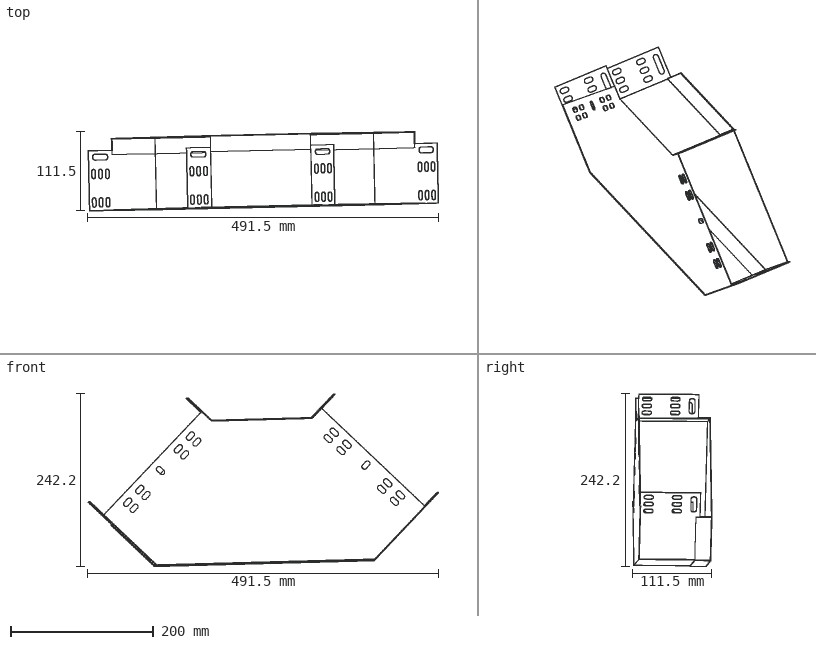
import cadquery as cq
import math


sheet = 1.0
duct_width = 201.3
outer_middle = 307.0
inner_leg = 19.0
total_depth = 101.5
bend_angle = 45
miter = math.tan(math.radians(bend_angle / 2))
outer_leg = inner_leg + duct_width * miter
inner_half_middle = outer_middle / 2 - duct_width * miter
wall_top = total_depth - sheet

tab_length = 27.0
tab_depth = 84.5
lid_setback = inner_leg
skirt_depth = 22.5

slot_length = 13.5
slot_width = 7.0
bottom_slot_rows = (12.5, 24.5)
bottom_slot_offsets = (-64.0, -39.5, 39.5, 64.0)
cross_slot_row = 15.3
tab_slot_first = 9.5
tab_slot_pitch = 13.5
tab_slot_columns = 3
tab_slot_depths = (12.0, 51.5)
long_slot_length = 29.0
long_slot_width = 8.0
long_slot_depth = 75.5
cut_reach = 2 * sheet

tilt_x = -0.37
tilt_y = -1.53
tilt_z = 1.28


def wall_path(inset, end_shift):
    """Four XZ points of a line that runs inset from the outer wall, from the left end to the right end."""
    half_middle = outer_middle / 2 - inset * miter
    leg = outer_leg - inset * miter + end_shift
    end_x = half_middle + leg * math.cos(math.radians(bend_angle))
    end_z = inset + leg * math.sin(math.radians(bend_angle))
    return [(-end_x, end_z), (-half_middle, inset), (half_middle, inset), (end_x, end_z)]


def prism(points, depth_from, depth_to):
    """Solid with an XZ outline between two depths along Y."""
    outline = cq.Workplane("XZ", origin=(0, depth_from, 0)).polyline(points).close()
    return outline.extrude(depth_from - depth_to)


def band(inset_from, inset_to, end_shift, depth_from, depth_to):
    """Strip of the elbow between two insets."""
    far_side = wall_path(inset_to, end_shift)[::-1]
    return prism(wall_path(inset_from, end_shift) + far_side, depth_from, depth_to)


def middle_strip(half_length, inset_from, inset_to, depth_from, depth_to):
    """Straight strip along the middle stretch only."""
    corners = [
        (-half_length, inset_from),
        (half_length, inset_from),
        (half_length, inset_to),
        (-half_length, inset_to),
    ]
    return prism(corners, depth_from, depth_to)


def end_frame(side, inset):
    """Origin, direction into the leg and direction square to its walls, at one duct end (-1 left, 1 right)."""
    end_x, end_z = wall_path(inset, 0)[0 if side < 0 else -1]
    cosine = math.cos(math.radians(bend_angle))
    sine = math.sin(math.radians(bend_angle))
    return (end_x, 0, end_z), (-side * cosine, 0, -sine), (sine, 0, -side * cosine)


def cut_slots(body, plane, places, length, width, angle):
    """Cut round-ended slots through the sheet that lies on the plane."""
    cutter = cq.Workplane(plane).pushPoints(places).slot2D(length, width, angle)
    return body.cut(cutter.extrude(cut_reach, both=True))


def cut_bottom_slots(tray, side):
    """Slots along the edge of the tray bottom at one duct end."""
    origin, into_leg, _ = end_frame(side, duct_width / 2)
    plane = cq.Plane(origin=origin, xDir=into_leg, normal=(0, 1, 0))
    places = [(row, offset) for row in bottom_slot_rows for offset in bottom_slot_offsets]
    tray = cut_slots(tray, plane, places, slot_length, slot_width, 90)
    return cut_slots(tray, plane, [(cross_slot_row, 0)], slot_length, slot_width, 0)


def cut_tab_slots(tray, side, inset):
    """Slots in the tab of one wall; X of the plane runs into the leg and Y is the depth."""
    origin, into_leg, across = end_frame(side, inset)
    plane = cq.Plane(origin=origin, xDir=into_leg, normal=across)
    columns = [tab_slot_first - tab_length + i * tab_slot_pitch for i in range(tab_slot_columns)]
    places = [(column, depth) for column in columns for depth in tab_slot_depths]
    tray = cut_slots(tray, plane, places, slot_length, slot_width, 90)
    middle_column = columns[tab_slot_columns // 2]
    return cut_slots(tray, plane, [(middle_column, long_slot_depth)], long_slot_length, long_slot_width, 0)


def make_tray():
    tray = band(0, duct_width, 0, 0, sheet)
    tray = tray.union(band(0, sheet, tab_length, 0, tab_depth))
    tray = tray.union(band(duct_width - sheet, duct_width, tab_length, 0, tab_depth))
    tray = tray.union(band(0, sheet, -lid_setback, 0, wall_top))
    tray = tray.union(middle_strip(inner_half_middle, duct_width - sheet, duct_width, 0, wall_top))
    for side in (-1, 1):
        tray = cut_bottom_slots(tray, side)
        for inset in (0, duct_width):
            tray = cut_tab_slots(tray, side, inset)
    return tray


def make_lid():
    skirt_edge = total_depth - skirt_depth
    inner_corners = [(inner_half_middle, duct_width), (-inner_half_middle, duct_width)]
    lid = prism(wall_path(0, -lid_setback) + inner_corners, wall_top, total_depth)
    lid = lid.union(band(-sheet, 0, -lid_setback, skirt_edge, total_depth))
    inner_skirt = middle_strip(
        inner_half_middle, duct_width, duct_width + sheet, skirt_edge, total_depth
    )
    return lid.union(inner_skirt)


def tilt(body):
    origin = (0, 0, 0)
    body = body.rotate(origin, (1, 0, 0), tilt_x)
    body = body.rotate(origin, (0, 1, 0), tilt_y)
    return body.rotate(origin, (0, 0, 1), tilt_z)


tray = tilt(make_tray())
lid = tilt(make_lid())
result = cq.Compound.makeCompound([tray.solids().val(), lid.solids().val()])